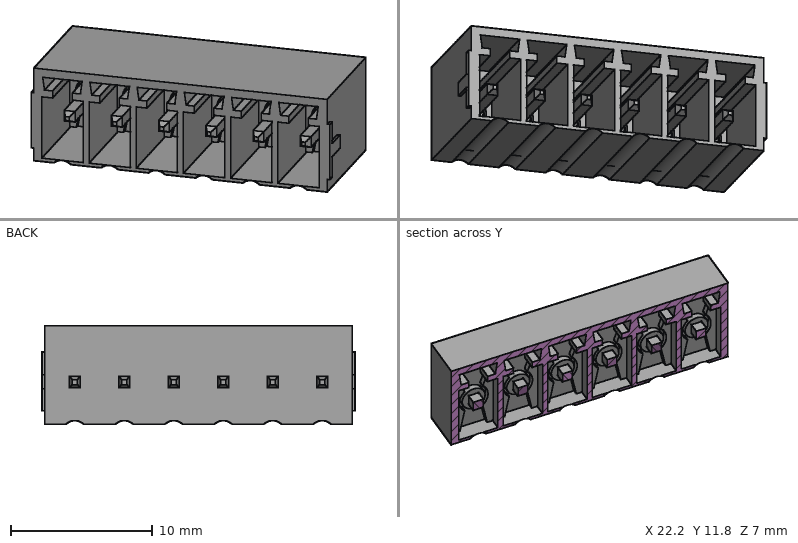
import cadquery as cq
import math

OVERALL_WIDTH = 22.2
RIB_THICKNESS = 0.2
HOUSING_WIDTH = OVERALL_WIDTH - 2 * RIB_THICKNESS
HOUSING_DEPTH = 9.2
HOUSING_HEIGHT = 7.0

POLES = 6
PITCH = 3.5
PIN_Z = 3.0
POLE_CENTRES = [(i - (POLES - 1) / 2) * PITCH for i in range(POLES)]

SLOT_DEPTH = 6.65
FLOOR_Z = 0.27
LEDGE_BOTTOM_Z = 4.88
LEDGE_TOP_Z = 5.42
SLOT_TOP_Z = 6.37
CHAMBER_HALF = 1.53
NECK_HALF = 0.73
CHANNEL_BOTTOM_HALF = 1.33
CHANNEL_TOP_HALF = 1.47

RECESS_DEPTH = 0.45
RECESS_END_HALF = 1.07
WAIST_HALF = 0.7
CLEARANCE_DIAMETER = 2.26
BOSS_DIAMETER = 1.8
FLOOR_GAP_HEIGHT = 0.07

GROOVE_DIAMETER = 1.8
GROOVE_WIDTH = 1.25

RIB_BAR_BOTTOM_Z = 0.95
RIB_BAR_HEIGHT = 4.17
RIB_BAR_LENGTH = 0.53
RIB_STEM_BOTTOM_Z = 2.5
RIB_STEM_HEIGHT = 1.0
RIB_STEM_LENGTH = 2.42

PIN_SIZE = 0.8
PIN_FRONT_Y = 1.18
FRONT_TIP_SIZE = 0.29
FRONT_TAPER_LENGTH = 0.53
PIN_TAIL_LENGTH = 2.62
BACK_TIP_SIZE = 0.35
BACK_TAPER_LENGTH = 0.8
PIN_BACK_Y = HOUSING_DEPTH + PIN_TAIL_LENGTH


def box(x_min, y_min, z_min, width, depth, height):
    """Box given by its lowest corner and its sizes."""
    return cq.Workplane("XY").box(width, depth, height, centered=False).translate((x_min, y_min, z_min))


def prism_along_y(right_half, y_start, length):
    """Prism whose outline is right_half (bottom to top) and its mirror image about X = 0."""
    left_half = [(-x, z) for x, z in reversed(right_half)]
    sketch = cq.Workplane("XZ", origin=(0, y_start, 0)).polyline(right_half + left_half).close()
    return sketch.extrude(-length)


def cylinder_along_y(diameter, z, y_start, length):
    return cq.Workplane("XZ", origin=(0, y_start, z)).circle(diameter / 2).extrude(-length)


UPPER_OUTLINE = [
    (NECK_HALF, LEDGE_BOTTOM_Z),
    (NECK_HALF, LEDGE_TOP_Z),
    (CHANNEL_BOTTOM_HALF, LEDGE_TOP_Z),
    (CHANNEL_TOP_HALF, SLOT_TOP_Z),
]


def make_slot():
    outline = [(CHAMBER_HALF, FLOOR_Z), (CHAMBER_HALF, LEDGE_BOTTOM_Z)] + UPPER_OUTLINE
    return prism_along_y(outline, 0, SLOT_DEPTH)


def make_end_recess():
    waist_offset = math.sqrt((CLEARANCE_DIAMETER / 2) ** 2 - WAIST_HALF**2)
    gap_top_z = FLOOR_Z + FLOOR_GAP_HEIGHT
    outline = [
        (CHAMBER_HALF, FLOOR_Z),
        (CHAMBER_HALF, gap_top_z),
        (RECESS_END_HALF, gap_top_z),
        (WAIST_HALF, PIN_Z - waist_offset),
        (WAIST_HALF, PIN_Z + waist_offset),
        (RECESS_END_HALF, LEDGE_BOTTOM_Z),
    ] + UPPER_OUTLINE
    recess = prism_along_y(outline, SLOT_DEPTH, RECESS_DEPTH)
    clearance = cylinder_along_y(CLEARANCE_DIAMETER, PIN_Z, SLOT_DEPTH, RECESS_DEPTH)
    boss = cylinder_along_y(BOSS_DIAMETER, PIN_Z, SLOT_DEPTH, RECESS_DEPTH)
    return recess.union(clearance).cut(boss)


def make_groove():
    centre_z = -math.sqrt((GROOVE_DIAMETER / 2) ** 2 - (GROOVE_WIDTH / 2) ** 2)
    return cylinder_along_y(GROOVE_DIAMETER, centre_z, 0, HOUSING_DEPTH)


def make_pin_hole():
    return box(-PIN_SIZE / 2, 0, PIN_Z - PIN_SIZE / 2, PIN_SIZE, HOUSING_DEPTH, PIN_SIZE)


def make_side_rib(x_min):
    bar = box(x_min, 0, RIB_BAR_BOTTOM_Z, RIB_THICKNESS, RIB_BAR_LENGTH, RIB_BAR_HEIGHT)
    stem = box(x_min, 0, RIB_STEM_BOTTOM_Z, RIB_THICKNESS, RIB_STEM_LENGTH, RIB_STEM_HEIGHT)
    return bar.union(stem)


def make_housing():
    half_width = HOUSING_WIDTH / 2
    body = box(-half_width, 0, 0, HOUSING_WIDTH, HOUSING_DEPTH, HOUSING_HEIGHT)
    for rib_x in (-half_width - RIB_THICKNESS, half_width):
        body = body.union(make_side_rib(rib_x))
    for cutter in (make_slot(), make_end_recess(), make_groove(), make_pin_hole()):
        for x in POLE_CENTRES:
            body = body.cut(cutter.translate((x, 0, 0)))
    return body


def make_pin_taper(x, tip_y, tip_size, shank_y):
    """Square pyramid frustum from the tip to the end of the full-size shank."""
    return (
        cq.Workplane("XZ", origin=(x, tip_y, PIN_Z))
        .rect(tip_size, tip_size)
        .workplane(offset=tip_y - shank_y)
        .rect(PIN_SIZE, PIN_SIZE)
        .loft(ruled=True)
    )


def make_pin(x):
    shank_front = PIN_FRONT_Y + FRONT_TAPER_LENGTH
    shank_back = PIN_BACK_Y - BACK_TAPER_LENGTH
    half = PIN_SIZE / 2
    shank = box(x - half, shank_front, PIN_Z - half, PIN_SIZE, shank_back - shank_front, PIN_SIZE)
    front_taper = make_pin_taper(x, PIN_FRONT_Y, FRONT_TIP_SIZE, shank_front)
    back_taper = make_pin_taper(x, PIN_BACK_Y, BACK_TIP_SIZE, shank_back)
    return shank.union(front_taper).union(back_taper)


housing = make_housing()
pins = [make_pin(x) for x in POLE_CENTRES]

result = cq.Compound.makeCompound([housing.val(), *[pin.val() for pin in pins]])